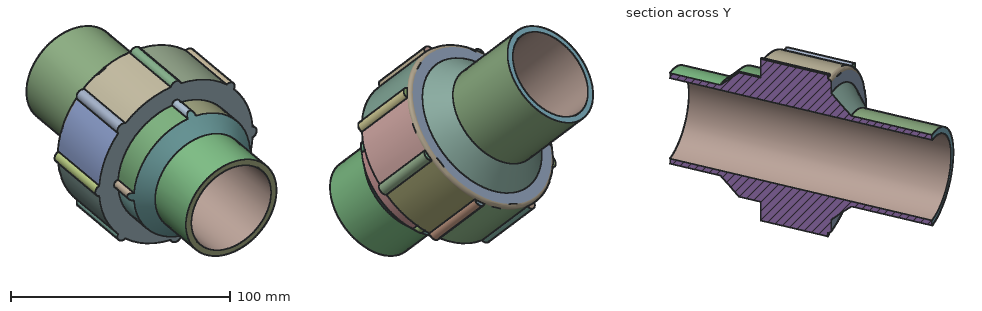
import cadquery as cq

overall_length = 130.0
left_cone_start = 40.0
nut_start = 49.9
nut_end = 85.0
collar_end = 98.0

pipe_radius = 50.0 / 2
bore_radius = 44.0 / 2
nut_radius = 42.4
nut_fillet = 1.8
collar_radius = 32.0

nut_rib_count = 8
nut_rib_radius = 3.0
nut_rib_crest = 44.5
collar_rib_count = 4
collar_rib_radius = 2.2
collar_rib_crest = 34.2

left_cone_radius = pipe_radius + nut_start - left_cone_start
right_cone_end = collar_end + collar_radius - pipe_radius
collar_rib_end = right_cone_end + pipe_radius - collar_rib_crest


def cylinder(radius, start, end):
    """Cylinder on the X axis between two axial stations."""
    return cq.Workplane("YZ", origin=(start, 0, 0)).circle(radius).extrude(end - start)


def revolve_profile(points):
    """Revolve an outline of (x, radius) points about the X axis."""
    return cq.Workplane("XY").polyline(points).close().revolve(360, (0, 0, 0), (1, 0, 0))


def ribs(count, radius, crest, start, end):
    """Evenly spaced round ribs parallel to X, with their tops at the crest radius."""
    return (
        cq.Workplane("YZ", origin=(start, 0, 0))
        .polarArray(crest - radius, 0, 360, count)
        .circle(radius)
        .extrude(end - start)
    )


body = revolve_profile([
    (0, 0),
    (0, pipe_radius),
    (left_cone_start, pipe_radius),
    (nut_start, left_cone_radius),
    (nut_end, left_cone_radius),
    (nut_end, collar_radius),
    (collar_end, collar_radius),
    (right_cone_end, pipe_radius),
    (overall_length, pipe_radius),
    (overall_length, 0),
])

nut = cylinder(nut_radius, nut_start, nut_end).faces("<X").edges().fillet(nut_fillet)
nut_ribs = ribs(nut_rib_count, nut_rib_radius, nut_rib_crest, nut_start + nut_fillet, nut_end)

rib_envelope = revolve_profile([
    (nut_end, 0),
    (nut_end, collar_rib_crest),
    (collar_rib_end, collar_rib_crest),
    (right_cone_end, pipe_radius),
    (right_cone_end, 0),
])
collar_ribs = ribs(
    collar_rib_count, collar_rib_radius, collar_rib_crest, nut_end, right_cone_end
).intersect(rib_envelope)

bore = cylinder(bore_radius, 0, overall_length)

result = body.union(nut).union(nut_ribs).union(collar_ribs).cut(bore)